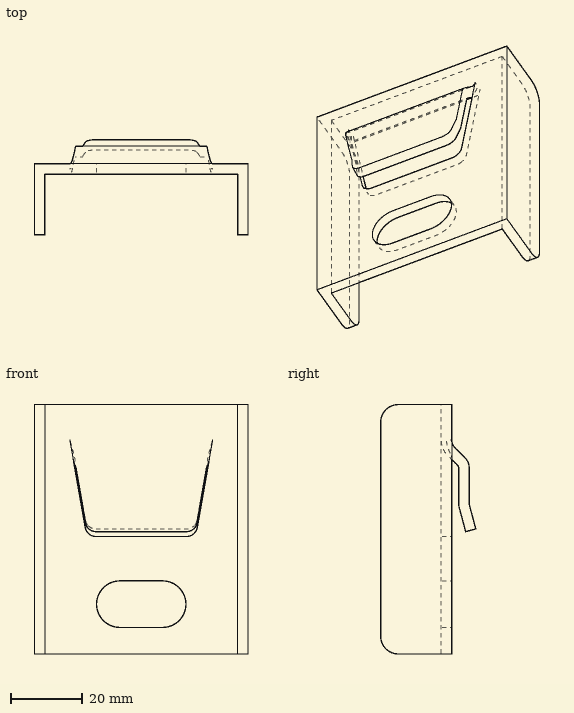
import cadquery as cq
import math

WIDTH = 60.0
HEIGHT = 70.0
CHANNEL_DEPTH = 20.0
THICKNESS = 3.0
FLANGE_CORNER_RADIUS = 5.0

SLOT_LENGTH = 25.0
SLOT_HEIGHT = 13.0
SLOT_CENTER_Z = 14.0

HINGE_Z = 60.0
HINGE_WIDTH = 40.0
WINDOW_HEIGHT = 27.0
SIDE_TAPER = math.radians(10.0)
CORNER_RADIUS = 3.0

RAMP_ANGLE = math.radians(45.0)
LIP_ANGLE = math.radians(15.0)
HINGE_BEND_RADIUS = 3.0
RAMP_BEND_RADIUS = 1.0
LIP_BEND_RADIUS = 1.5
RAMP_LENGTH = 4.0
FLAT_LENGTH = 10.0
LIP_LENGTH = 7.0
BEND_SECTIONS = 7


def channel():
    """U-shaped channel with rounded free corners on both flanges."""
    body = (
        cq.Workplane("XY")
        .box(WIDTH, CHANNEL_DEPTH, HEIGHT, centered=(True, False, False))
        .translate((0, -CHANNEL_DEPTH, 0))
        .edges("|X and <Y")
        .fillet(FLANGE_CORNER_RADIUS)
    )
    inside = (
        cq.Workplane("XY")
        .box(WIDTH - 2 * THICKNESS, CHANNEL_DEPTH, HEIGHT, centered=(True, False, False))
        .translate((0, -CHANNEL_DEPTH - THICKNESS, 0))
    )
    return body.cut(inside)


def mounting_slot():
    return (
        cq.Workplane("XZ")
        .center(0, SLOT_CENTER_Z)
        .slot2D(SLOT_LENGTH, SLOT_HEIGHT)
        .extrude(THICKNESS)
    )


def half_width(distance):
    """Half width of the tapered outline at a distance along the sheet below the hinge."""
    return HINGE_WIDTH / 2 - distance * math.tan(SIDE_TAPER)


def window():
    """Tapered opening through the plate with rounded lower corners."""
    top = half_width(0)
    bottom = half_width(WINDOW_HEIGHT)
    bottom_z = HINGE_Z - WINDOW_HEIGHT
    return (
        cq.Workplane("XZ")
        .polyline([(-top, HINGE_Z), (top, HINGE_Z), (bottom, bottom_z), (-bottom, bottom_z)])
        .close()
        .extrude(THICKNESS)
        .edges("|Y and <Z")
        .fillet(CORNER_RADIUS)
    )


def sheet_direction(angle):
    """Downward direction of the sheet when tilted outward by an angle."""
    return cq.Vector(0, math.sin(angle), -math.cos(angle))


def sheet_normal(angle):
    """Direction from the front face of the tilted sheet to its back face."""
    return cq.Vector(0, math.cos(angle), math.sin(angle))


def cross_section(middle, angle, distance):
    """Rectangle across the sheet, centered on its middle surface."""
    plane = cq.Plane(middle, xDir=(1, 0, 0), normal=sheet_direction(angle))
    return cq.Workplane(plane).rect(2 * half_width(distance), THICKNESS).val()


def straight(middle, angle, distance, length):
    """Flat tapered stretch of the sheet; returns it with the middle point of its end."""
    end = middle + sheet_direction(angle) * length
    start_section = cross_section(middle, angle, distance)
    end_section = cross_section(end, angle, distance + length)
    body = cq.Solid.makeLoft([start_section, end_section], ruled=True)
    return body, end


def bend(middle, start_angle, end_angle, inner_radius, distance):
    """Tapered bend; returns it with the middle point and the distance at its end."""
    turn = math.copysign(1, end_angle - start_angle)
    radius = inner_radius + THICKNESS / 2
    center = middle + sheet_normal(start_angle) * (turn * radius)
    sections = []
    for step in range(BEND_SECTIONS):
        angle = start_angle + (end_angle - start_angle) * step / (BEND_SECTIONS - 1)
        point = center - sheet_normal(angle) * (turn * radius)
        arc_distance = distance + radius * abs(angle - start_angle)
        sections.append(cross_section(point, angle, arc_distance))
    return cq.Solid.makeLoft(sections), point, arc_distance


def tongue():
    """Bent strip whose sides taper along the sheet, with rounded tip corners."""
    hinge = cq.Vector(0, -THICKNESS / 2, HINGE_Z)
    hinge_bend, middle, distance = bend(hinge, 0, RAMP_ANGLE, HINGE_BEND_RADIUS, 0)
    ramp, middle = straight(middle, RAMP_ANGLE, distance, RAMP_LENGTH)
    distance += RAMP_LENGTH
    ramp_bend, middle, distance = bend(middle, RAMP_ANGLE, 0, RAMP_BEND_RADIUS, distance)
    flat, middle = straight(middle, 0, distance, FLAT_LENGTH)
    distance += FLAT_LENGTH
    lip_bend, middle, distance = bend(middle, 0, LIP_ANGLE, LIP_BEND_RADIUS, distance)
    lip, _ = straight(middle, LIP_ANGLE, distance, LIP_LENGTH)
    rounded_lip = cq.Workplane(lip).faces("<Z").edges("not |X").fillet(CORNER_RADIUS)
    return [hinge_bend, ramp, ramp_bend, flat, lip_bend, rounded_lip.val()]


bracket = channel().cut(mounting_slot()).cut(window())
for piece in tongue():
    bracket = bracket.union(cq.Workplane(piece))
result = bracket.solids()